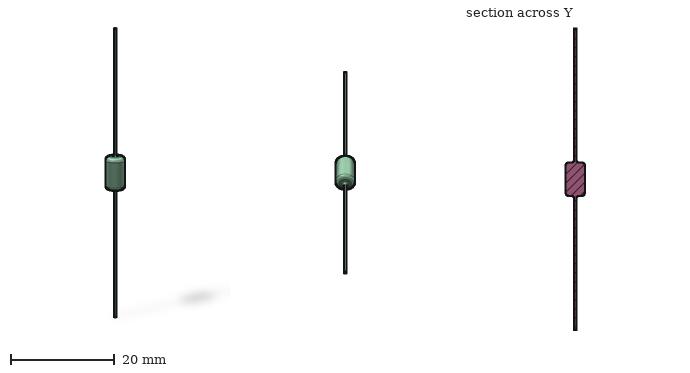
import cadquery as cq

total_length = 58.15
lead_diameter = 0.535
body_diameter = 3.85
body_length = 6.6
body_edge_radius = 0.75
lead_fillet_radius = 0.4


def make_rod(diameter, length):
    """Cylinder along Z, centred on the origin."""
    return cq.Workplane("XY").circle(diameter / 2).extrude(length / 2, both=True)


def make_body():
    """Cylinder with both end edges rounded."""
    return make_rod(body_diameter, body_length).faces("<Z or >Z").edges().fillet(body_edge_radius)


def blend_lead(part, end):
    """Concave fillet where the lead leaves one flat body end (-1 lower, 1 upper)."""
    joint_z = end * body_length / 2
    reach = lead_diameter
    around_joint = cq.selectors.BoxSelector(
        (-reach, -reach, joint_z - reach),
        (reach, reach, joint_z + reach),
        boundingbox=True,
    )
    return part.edges("%CIRCLE").edges(around_joint).fillet(lead_fillet_radius)


result = make_body().union(make_rod(lead_diameter, total_length))
for end in (-1, 1):
    result = blend_lead(result, end)